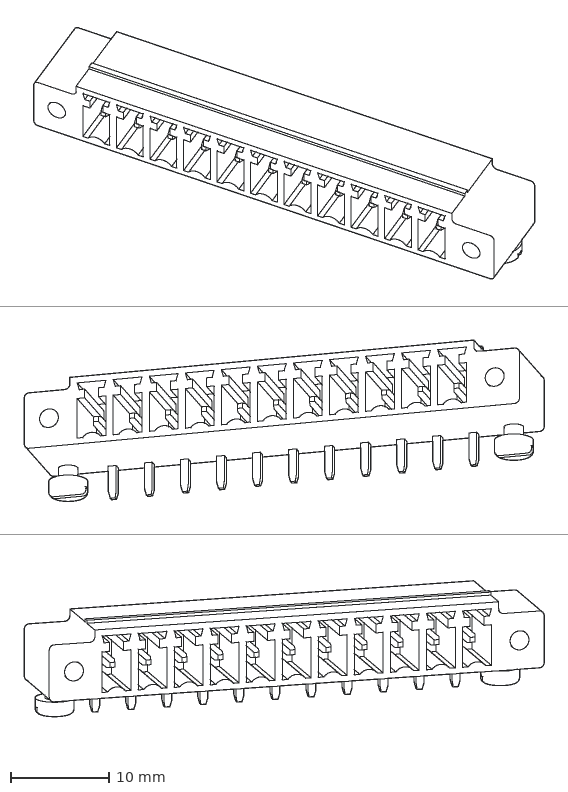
import cadquery as cq

length = 52.3
depth = 9.2
core_length = 42.7
core_height = 7.2
ear_height = 5.95
corner_radius = 0.5

rib_front = 2.95
rib_width = 0.65
rib_height = 0.3

contact_count = 11
row_span = 38.1
pitch = row_span / (contact_count - 1)
contact_xs = [i * pitch - row_span / 2 for i in range(contact_count)]

cavity_depth = 7.1
cavity_half_width = 1.5
cavity_floor = 0.65
shoulder_z = 4.85
neck_half_width = 0.75
dovetail_z = 5.8
dovetail_half_width = 1.3
cavity_top = 6.55
hump_half_width = 0.95
hump_height = 0.45

pin_width = 0.85
pin_tip_width = 0.5
pin_axis_z = 3.05
pin_front = 1.55
leg_y = 8.05
leg_length = 3.4
tip_length = 0.7

ear_center_x = 23.55
insert_z = 3.05
insert_diameter = 4.0
hole_diameter = 2.0
hole_depth = 5.25

screw_y = 7.1
shank_diameter = 2.0
shank_length = 1.4
head_diameter = 4.0
head_height = 1.6
head_rounding = 0.45
slot_width = 0.65
slot_depth = 0.8


def front_plane(y, x=0.0, z=0.0):
    """Plane at depth y facing -Y, with local X along +X and local Y along +Z."""
    return cq.Workplane("XZ", origin=(x, y, z))


def make_housing():
    half, core_half = length / 2, core_length / 2
    profile = [
        (-half, 0),
        (half, 0),
        (half, ear_height),
        (core_half, ear_height),
        (core_half, core_height),
        (-core_half, core_height),
        (-core_half, ear_height),
        (-half, ear_height),
    ]
    housing = front_plane(0).polyline(profile).close().extrude(-depth)
    margin = 0.5
    inner_corners = cq.selectors.BoxSelector(
        (-core_half - margin, -margin, ear_height - margin),
        (core_half + margin, depth + margin, ear_height + margin),
    )
    housing = housing.edges("|Y").edges("<X or >X").fillet(corner_radius)
    housing = housing.edges("|Y").edges(inner_corners).fillet(corner_radius)
    rib = cq.Workplane("XY").box(core_length, rib_width, rib_height, centered=(True, False, False))
    return housing.union(rib.translate((0, rib_front, core_height)))


def make_cavity(x):
    return (
        front_plane(0, x)
        .moveTo(-cavity_half_width, cavity_floor)
        .lineTo(-hump_half_width, cavity_floor)
        .threePointArc((0, cavity_floor + hump_height), (hump_half_width, cavity_floor))
        .lineTo(cavity_half_width, cavity_floor)
        .lineTo(cavity_half_width, shoulder_z)
        .lineTo(neck_half_width, shoulder_z)
        .lineTo(neck_half_width, dovetail_z)
        .lineTo(dovetail_half_width, dovetail_z)
        .lineTo(cavity_half_width, cavity_top)
        .lineTo(-cavity_half_width, cavity_top)
        .lineTo(-dovetail_half_width, dovetail_z)
        .lineTo(-neck_half_width, dovetail_z)
        .lineTo(-neck_half_width, shoulder_z)
        .lineTo(-cavity_half_width, shoulder_z)
        .close()
        .extrude(-cavity_depth)
    )


def square_bar(start, bar_length):
    """Square bar running out from the plane of start, ending in a tapered tip."""
    shank_length = bar_length - tip_length
    shank = start.rect(pin_width, pin_width).extrude(shank_length)
    tip = (
        start.workplane(offset=shank_length)
        .rect(pin_width, pin_width)
        .workplane(offset=tip_length)
        .rect(pin_tip_width, pin_tip_width)
        .loft(combine=False)
    )
    return shank.union(tip)


def make_pin(x):
    contact = square_bar(front_plane(leg_y, x, pin_axis_z), leg_y - pin_front)
    leg_start = cq.Workplane("XY", origin=(x, leg_y, pin_axis_z)).transformed(rotate=(180, 0, 0))
    leg = square_bar(leg_start, pin_axis_z + leg_length)
    return contact.union(leg)


def make_bore(x):
    return front_plane(0, x, insert_z).circle(insert_diameter / 2).extrude(-hole_depth)


def make_insert(x):
    ring = front_plane(0, x, insert_z).circle(insert_diameter / 2).circle(hole_diameter / 2)
    return ring.extrude(-hole_depth)


def make_screw(x):
    head_bottom = -shank_length - head_height
    base = cq.Workplane("XY", origin=(x, screw_y, head_bottom))
    head = base.circle(head_diameter / 2).extrude(head_height).faces("<Z").edges().fillet(head_rounding)
    slot = base.rect(head_diameter, slot_width).extrude(slot_depth)
    shank = base.workplane(offset=head_height).circle(shank_diameter / 2).extrude(shank_length)
    return head.cut(slot).union(shank)


result = make_housing()
for contact_x in contact_xs:
    result = result.cut(make_cavity(contact_x)).union(make_pin(contact_x))
for ear_x in (-ear_center_x, ear_center_x):
    result = result.cut(make_bore(ear_x)).union(make_screw(ear_x))

for ear_x in (-ear_center_x, ear_center_x):
    result = result.union(make_insert(ear_x), clean=False)